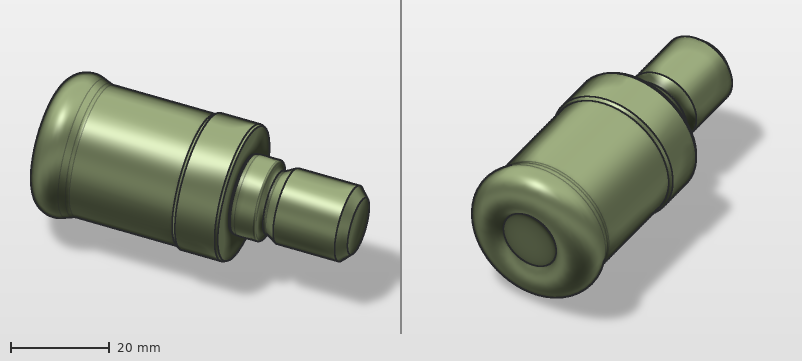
import cadquery as cq
import math

total_length = 67.1
nose_end_x = 7.3
nose_taper_end_x = 8.7
barrel_start_x = 9.5
barrel_end_x = 32.0
collar_start_x = 32.8
collar_end_x = 42.05
collar_chamfer_length = 0.6
collar_chamfer_depth = 0.3

lip_tube_radius = 5.0
lip_outer_radius = 30.4 / 2
barrel_radius = 28.0 / 2
collar_radius = 29.0 / 2
nose_recess_radius = 6.4

undercut_radius = 16.6 / 2
undercut_end_x = 42.25
undercut_step_x = 42.45
undercut_step_radius = 17.0 / 2
land_radius = 8.6
land_start_x = 43.3
land_end_x = 47.5
shoulder_x = 47.9
shoulder_radius = 8.2
neck_radius = 13.5 / 2
neck_start_x = 48.9
neck_end_x = 49.15
neck_sag_x = 48.3
neck_sag_radius = 7.2
taper_start_x = 49.5
taper_end_x = 51.65
taper_angle = math.radians(29)
shank_radius = 16.0 / 2
tip_chamfer = 2.0


def revolve_about_x(profile):
    """Revolve a closed (x, radius) profile in the XY plane about the X axis."""
    return profile.close().revolve(360, (0, 0, 0), (1, 0, 0))


def make_housing():
    lip_centre_radius = lip_outer_radius - lip_tube_radius
    floor_drop = lip_centre_radius - nose_recess_radius
    floor_x = lip_tube_radius - math.sqrt(lip_tube_radius**2 - floor_drop**2)
    nose_run = nose_end_x - lip_tube_radius
    nose_end_radius = lip_centre_radius + math.sqrt(lip_tube_radius**2 - nose_run**2)
    mid_angle = math.radians(135)
    lip_mid = (
        lip_tube_radius + lip_tube_radius * math.cos(mid_angle),
        lip_centre_radius + lip_tube_radius * math.sin(mid_angle),
    )
    blend_angle = math.radians(22)
    blend_radius = (barrel_start_x - nose_taper_end_x) / math.sin(blend_angle)
    blend_mid = (
        barrel_start_x - blend_radius * math.sin(blend_angle / 2),
        barrel_radius + blend_radius * (1 - math.cos(blend_angle / 2)),
    )
    taper_end_radius = barrel_radius + blend_radius * (1 - math.cos(blend_angle))
    profile = (
        cq.Workplane("XY")
        .moveTo(floor_x, 0)
        .lineTo(floor_x, nose_recess_radius)
        .threePointArc(lip_mid, (nose_end_x, nose_end_radius))
        .lineTo(nose_taper_end_x, taper_end_radius)
        .threePointArc(blend_mid, (barrel_start_x, barrel_radius))
        .lineTo(barrel_end_x, barrel_radius)
        .lineTo(collar_start_x, collar_radius)
        .lineTo(collar_end_x - collar_chamfer_length, collar_radius)
        .lineTo(collar_end_x, collar_radius - collar_chamfer_depth)
        .lineTo(collar_end_x, 0)
    )
    return revolve_about_x(profile)


def make_stud():
    taper_start_radius = shank_radius - (taper_end_x - taper_start_x) * math.tan(taper_angle)
    profile = (
        cq.Workplane("XY")
        .moveTo(collar_end_x, 0)
        .lineTo(collar_end_x, undercut_radius)
        .lineTo(undercut_end_x, undercut_radius)
        .lineTo(undercut_step_x, undercut_step_radius)
        .lineTo(land_start_x, land_radius)
        .lineTo(land_end_x, land_radius)
        .tangentArcPoint((shoulder_x, shoulder_radius), relative=False)
        .threePointArc((neck_sag_x, neck_sag_radius), (neck_start_x, neck_radius))
        .lineTo(neck_end_x, neck_radius)
        .tangentArcPoint((taper_start_x, taper_start_radius), relative=False)
        .lineTo(taper_end_x, shank_radius)
        .lineTo(total_length - tip_chamfer, shank_radius)
        .lineTo(total_length, shank_radius - tip_chamfer)
        .lineTo(total_length, 0)
    )
    return revolve_about_x(profile)


housing = make_housing()
stud = make_stud()

result = cq.Compound.makeCompound([housing.val(), stud.val()])